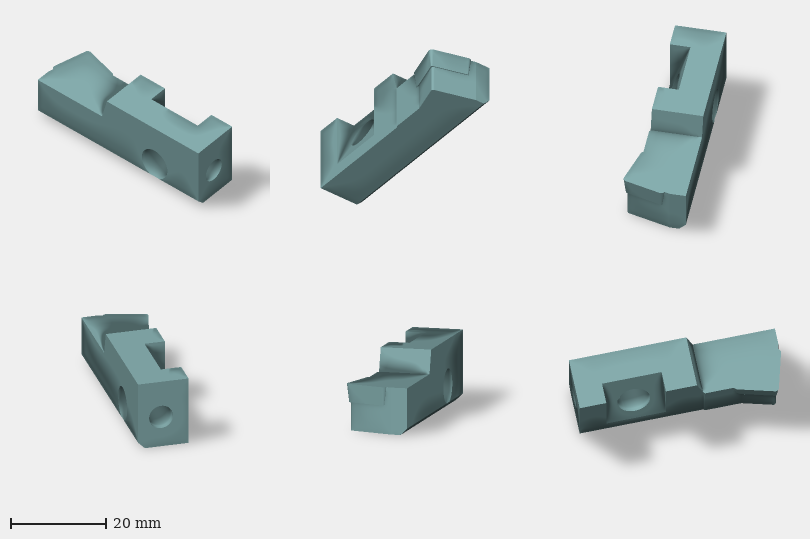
import cadquery as cq
import math

length = 44.25
overall_depth = 13.8
left_end = 0.18
body_depth = 10.98
height = 15.0
seat_height = 10.0
bottom_chamfer = 1.45

nose_depth = 11.25
nose_end = 17.8
nose_relief = 0.3
nose_half_width = 4.05
nose_half_depth = 4.03
nose_corner_radius = 0.55
step_angle = 15.0

insert_side = 9.5
insert_thickness = 4.0
insert_corner_radius = 0.8
insert_clearance = 7.0
insert_turn = 15.0
post_diameter = 6.0

bore_diameter = 7.0
bore_tilt = 20.0
bore_x = 32.25
bore_entry_z = 5.0
pocket_left = 25.8
pocket_length = 12.75
pocket_top_y = 6.55

screw_diameter = 5.2
screw_y = 5.0

tilt = math.radians(bore_tilt)
turn = math.radians(insert_turn)

corner_offset = insert_side / 2 - insert_corner_radius
insert_reach = corner_offset * (math.cos(turn) + math.sin(turn)) + insert_corner_radius
insert_x = insert_reach
insert_y = overall_depth - insert_reach


def from_insert_center(u, v):
    """Plan position of a point given along the turned insert's own axes."""
    x = insert_x + u * math.cos(turn) + v * math.sin(turn)
    y = insert_y - u * math.sin(turn) + v * math.cos(turn)
    return x, y


def make_nose():
    """Low block whose left and back edges run parallel to the insert."""
    corner = from_insert_center(-nose_half_width, nose_half_depth)
    left_y = corner[1] - (corner[0] - left_end) / math.tan(turn)
    back_x = corner[0] + (corner[1] - nose_depth) / math.tan(turn)
    outline = [
        (left_end, 0),
        (left_end, left_y),
        corner,
        (back_x, nose_depth),
        (nose_end - nose_relief, nose_depth),
        (nose_end, nose_depth - nose_relief),
        (nose_end, 0),
    ]
    nose = cq.Workplane("XY").polyline(outline).close().extrude(seat_height)
    corner_edge = cq.selectors.NearestToPointSelector((*corner, seat_height / 2))
    return nose.edges(corner_edge).fillet(nose_corner_radius)


def make_shank():
    """Tall block with the sloping step down to the nose."""
    step_run = (height - seat_height) * math.tan(math.radians(step_angle))
    profile = [
        (nose_end, 0),
        (length, 0),
        (length, height),
        (nose_end + step_run, height),
        (nose_end, seat_height),
    ]
    return cq.Workplane("XZ").polyline(profile).close().extrude(-body_depth)


def make_chamfer_cutter():
    """Wedge along the lower front edge."""
    corner = [(0, 0), (bottom_chamfer, 0), (0, bottom_chamfer)]
    return cq.Workplane("YZ").polyline(corner).close().extrude(length)


def make_pocket_cutter():
    """Wedge whose floor is perpendicular to the mounting bore."""
    pocket_depth = (body_depth - pocket_top_y) / math.tan(tilt)
    profile = [
        (pocket_top_y, height),
        (body_depth, height),
        (body_depth, height - pocket_depth),
    ]
    wedge = cq.Workplane("YZ").polyline(profile).close().extrude(pocket_length)
    return wedge.translate((pocket_left, 0, 0))


def make_mounting_bore():
    """Cylinder through the shank, rising towards the back."""
    axis = cq.Vector(0, math.cos(tilt), math.sin(tilt))
    entry = cq.Vector(bore_x, 0, bore_entry_z)
    start = entry - axis * body_depth
    return cq.Solid.makeCylinder(bore_diameter / 2, 3 * body_depth, start, axis)


def make_screw_bore():
    """Cylinder from the right end to the axis of the mounting bore."""
    screw_z = bore_entry_z + screw_y * math.tan(tilt)
    start = cq.Vector(bore_x, screw_y, screw_z)
    return cq.Solid.makeCylinder(screw_diameter / 2, length - bore_x, start, cq.Vector(1, 0, 0))


def make_insert():
    """Square insert with tapered flanks and a straight centre hole."""
    return (
        cq.Workplane("XY")
        .sketch()
        .rect(insert_side, insert_side)
        .vertices()
        .fillet(insert_corner_radius)
        .finalize()
        .extrude(-insert_thickness, taper=insert_clearance)
        .faces(">Z")
        .workplane()
        .hole(post_diameter)
        .rotate((0, 0, 0), (0, 0, 1), -insert_turn)
        .translate((insert_x, insert_y, seat_height))
    )


def make_holder(insert):
    """Holder with the insert seat; its post fills the insert's hole."""
    return (
        make_nose()
        .union(make_shank())
        .cut(make_chamfer_cutter())
        .cut(make_pocket_cutter())
        .cut(make_mounting_bore())
        .cut(make_screw_bore())
        .cut(insert)
    )


insert = make_insert()
holder = make_holder(insert)

result = cq.Compound.makeCompound([holder.solids().val(), insert.solids().val()])